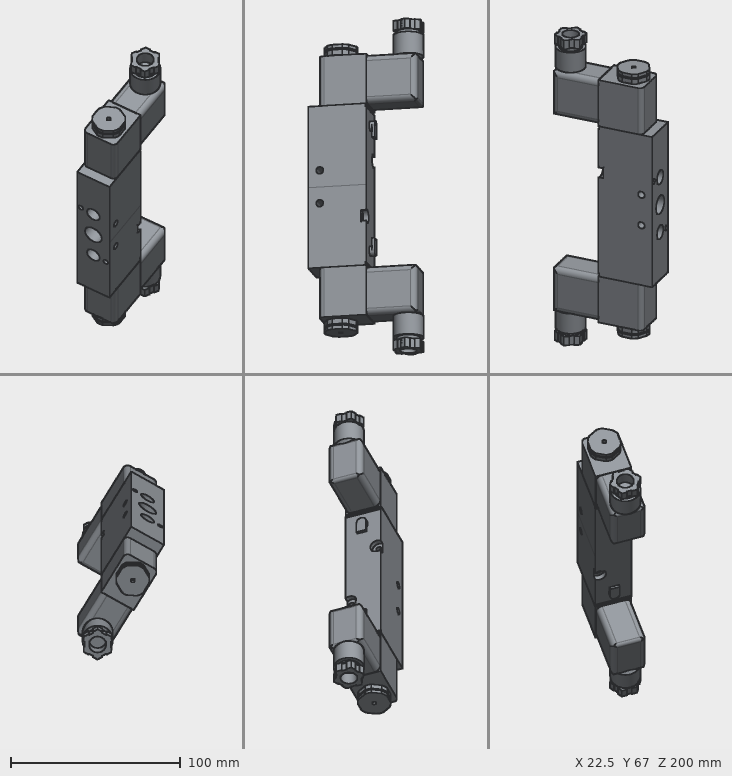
import cadquery as cq
import math


length = 200.0
body_width = 22.5
body_depth = 35.0
body_top_z = 47.5
flange_thickness = 1.8
flange_depth = 34.5

outer_port_diameter = 8.8
outer_port_depth = 12.0
outer_port_z = 18.0
middle_port_diameter = 11.5
middle_port_depth = 16.0
mount_hole_diameter = 3.2
mount_hole_x = -8.5
mount_hole_z = 19.0
mount_recess_diameter = 8.2
mount_recess_depth = 3.2
cross_hole_diameter = 4.2
cross_hole_y = 7.0
cross_hole_z = 10.0

lever_diameter = 6.0
lever_z = 38.0
lever_end_z = 30.8
lever_thickness = 1.5
lever_stem_length = 1.5

coil_width = 22.2
coil_front_y = 6.5
coil_bottom_z = body_top_z + flange_thickness
coil_top_z = 79.5
coil_corner_radius = 3.0

nut_y = 17.2
nut_across_flats = 18.5
nut_corner_diameter = 19.5
nut_neck_diameter = 15.0
nut_neck_height = 0.8
nut_lower_height = 3.2
nut_groove_diameter = 12.5
nut_groove_height = 1.0
nut_upper_height = 2.2
nut_hole_diameter = 2.5
nut_hole_depth = 4.0

plug_width = 21.5
plug_back_y = 65.2
plug_bottom_z = 49.8
plug_top_z = 79.0
plug_edge_radius = 3.5
plug_back_radius = 2.0

gland_y = 58.0
gland_diameter = 18.0
gland_chamfer = 1.8
gland_top_z = 92.0
gland_neck_diameter = 14.0
cap_top_z = length / 2
cap_bottom_z = 94.2
cap_across_flats = 16.5
cap_notch_width = 3.0
cap_notch_depth = 0.5
cap_bore_diameter = 10.0


def box(x_size, y_start, y_end, z_start, z_end):
    """Box centred on X = 0."""
    corner = (-x_size / 2, y_start, z_start)
    return cq.Workplane("XY").box(x_size, y_end - y_start, z_end - z_start, centered=False).translate(corner)


def upright_cylinder(diameter, y, z_start, z_end):
    """Cylinder along Z on the plane X = 0."""
    return cq.Workplane("XY", origin=(0, y, z_start)).circle(diameter / 2).extrude(z_end - z_start)


def cylinder_to_back(diameter, x, z, y_start, y_end):
    """Cylinder along Y."""
    base = cq.Workplane("XZ", origin=(x, y_start, z))
    return base.circle(diameter / 2).extrude(y_start - y_end)


def upright_hexagon(across_flats, y, z_start, z_end):
    """Hexagonal prism along Z with corners on the X axis."""
    corner_diameter = across_flats / math.cos(math.pi / 6)
    return cq.Workplane("XY", origin=(0, y, z_start)).polygon(6, corner_diameter).extrude(z_end - z_start)


def turned_about_y(shape):
    return shape.rotate((0, 0, 0), (0, 1, 0), 180)


def make_coil():
    coil = box(coil_width, coil_front_y, body_depth, coil_bottom_z, coil_top_z)
    return coil.edges("|Z and <Y").fillet(coil_corner_radius)


def nut_disc(z_start, z_end):
    hexagon = upright_hexagon(nut_across_flats, nut_y, z_start, z_end)
    hexagon = hexagon.rotate((0, nut_y, 0), (0, nut_y, 1), 30)
    return hexagon.intersect(upright_cylinder(nut_corner_diameter, nut_y, z_start, z_end))


def make_nut():
    lower_start = coil_top_z + nut_neck_height
    lower_end = lower_start + nut_lower_height
    upper_start = lower_end + nut_groove_height
    upper_end = upper_start + nut_upper_height
    nut = upright_cylinder(nut_neck_diameter, nut_y, coil_top_z, lower_start)
    nut = nut.union(nut_disc(lower_start, lower_end))
    nut = nut.union(upright_cylinder(nut_groove_diameter, nut_y, lower_end, upper_start))
    nut = nut.union(nut_disc(upper_start, upper_end))
    return nut.cut(upright_cylinder(nut_hole_diameter, nut_y, upper_end - nut_hole_depth, upper_end))


def make_plug():
    """Plug box whose edge rounds meet in a mitre at the two back corners."""
    block = box(plug_width, body_depth, plug_back_y, plug_bottom_z, plug_top_z)
    end_profile = block.edges("|Y").fillet(plug_edge_radius)
    top_profile = block.edges("|Z and >Y").fillet(plug_edge_radius)
    side_profile = block.edges("|X and >Y").fillet(plug_back_radius)
    return end_profile.intersect(top_profile).intersect(side_profile)


def make_cap():
    """Hexagonal gland cap with a shallow notch along the middle of each flat."""
    cap = upright_hexagon(cap_across_flats, gland_y, cap_bottom_z, cap_top_z)
    flat_y = gland_y + cap_across_flats / 2
    notch = box(cap_notch_width, flat_y - cap_notch_depth, flat_y + cap_notch_depth, cap_bottom_z, cap_top_z)
    for flat in range(6):
        cap = cap.cut(notch.rotate((0, gland_y, 0), (0, gland_y, 1), 60 * flat))
    return cap


def make_gland():
    bottom_z = plug_top_z - gland_chamfer
    gland = upright_cylinder(gland_diameter, gland_y, bottom_z, gland_top_z)
    gland = gland.faces("<Z").edges().chamfer(gland_chamfer)
    gland = gland.union(upright_cylinder(gland_neck_diameter, gland_y, gland_top_z, cap_bottom_z))
    gland = gland.union(make_cap())
    return gland.cut(upright_cylinder(cap_bore_diameter, gland_y, gland_top_z, cap_top_z))


def make_lever():
    """Round stem carrying a flat lever with one rounded end, pointing to the valve middle."""
    plate_start = body_depth + lever_stem_length
    plate_end = plate_start + lever_thickness
    lever = cylinder_to_back(lever_diameter, 0, lever_z, body_depth, plate_end)
    return lever.union(box(lever_diameter, plate_start, plate_end, lever_end_z, lever_z))


def make_upper_half():
    half = box(body_width, 0, body_depth, 0, body_top_z)
    half = half.union(box(body_width, 0, flange_depth, body_top_z, coil_bottom_z))
    for feature in (make_coil(), make_nut(), make_plug(), make_gland(), make_lever()):
        half = half.union(feature)
    outer_port = cylinder_to_back(outer_port_diameter, 0, outer_port_z, 0, outer_port_depth)
    mount_hole = cylinder_to_back(mount_hole_diameter, mount_hole_x, mount_hole_z, 0, body_depth)
    recess_start = body_depth - mount_recess_depth
    mount_recess = cylinder_to_back(
        mount_recess_diameter, mount_hole_x, mount_hole_z, recess_start, body_depth
    )
    cross_hole = cq.Workplane("YZ").center(cross_hole_y, cross_hole_z)
    cross_hole = cross_hole.circle(cross_hole_diameter / 2).extrude(body_width / 2, both=True)
    return half.cut(outer_port).cut(mount_hole).cut(mount_recess).cut(cross_hole)


upper_half = make_upper_half()
middle_port = cylinder_to_back(middle_port_diameter, 0, 0, 0, middle_port_depth)
result = upper_half.union(turned_about_y(upper_half)).cut(middle_port)